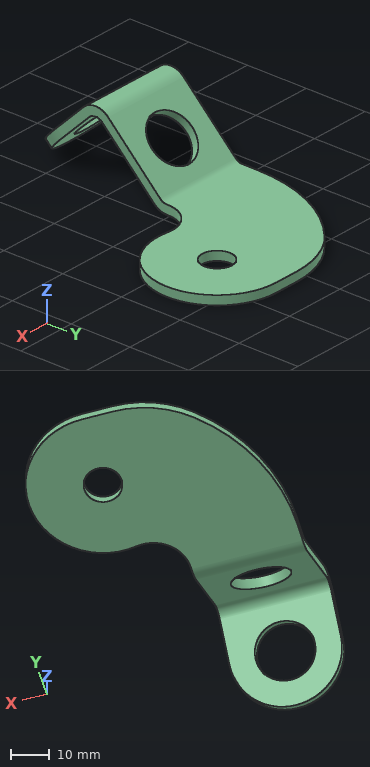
import cadquery as cq
import math

thickness = 3.0
total_length = 98.1
tab_width = 30.0
bend_inner = 3.0
bend_outer = bend_inner + thickness

plate_length = 50.0
lobe_radius = 20.0
lobe_x = 45.0
lobe_y = plate_length - lobe_radius
side_radius = 50.0
side_start_y = 5.0
shoulder_radius = 30.0
neck_radius = 10.0
plate_hole_diameter = 10.0

tab_hole_diameter = 16.0
slope = math.sqrt(0.5)
first_bend_z = bend_outer
center_distance = bend_inner + bend_outer
tip_y = plate_length - total_length
ridge_z = (first_bend_z - tip_y - 3 * center_distance * slope) / 2
ridge_y = first_bend_z - ridge_z - 2 * center_distance * slope
end_leg_run = ridge_y - bend_outer * slope - tip_y
end_leg_length = end_leg_run / slope
tab_end_radius = tab_width / 2
hole_from_bend = end_leg_length - tab_end_radius


def on_circle(center_x, center_y, radius, degrees):
    angle = math.radians(degrees)
    return (center_x + radius * math.cos(angle), center_y + radius * math.sin(angle))


def make_plate():
    """Curved flat plate with one round hole in its lobe."""
    shoulder_y = plate_length - shoulder_radius
    center_gap = side_radius - shoulder_radius
    join_rise = math.asin((shoulder_y - side_start_y) / center_gap)
    shoulder_x = side_radius - center_gap * math.cos(join_rise)
    join_angle = 180 - math.degrees(join_rise)

    neck_x = tab_width + neck_radius
    neck_tilt = math.acos((lobe_x - neck_x) / (lobe_radius + neck_radius))
    neck_y = lobe_y - (lobe_radius + neck_radius) * math.sin(neck_tilt)
    neck_angle = math.degrees(neck_tilt)
    neck_middle = (180 + neck_angle) / 2

    outline = (
        cq.Workplane("XY")
        .moveTo(0, 0)
        .lineTo(0, side_start_y)
        .threePointArc(
            on_circle(side_radius, side_start_y, side_radius, (180 + join_angle) / 2),
            on_circle(side_radius, side_start_y, side_radius, join_angle),
        )
        .threePointArc(
            on_circle(shoulder_x, shoulder_y, shoulder_radius, (90 + join_angle) / 2),
            (shoulder_x, plate_length),
        )
        .lineTo(lobe_x, plate_length)
        .threePointArc(
            (lobe_x + lobe_radius, lobe_y),
            on_circle(neck_x, neck_y, neck_radius, neck_angle),
        )
        .threePointArc(
            on_circle(neck_x, neck_y, neck_radius, neck_middle),
            (tab_width, neck_y),
        )
        .lineTo(tab_width, 0)
        .close()
    )
    hole = cq.Workplane("XY").center(lobe_x, lobe_y).circle(plate_hole_diameter / 2).extrude(thickness)
    return outline.extrude(thickness).cut(hole)


def make_folded_strip():
    """Constant-width strip that bends up from the plate and down over the ridge."""
    end_z = ridge_z - end_leg_run
    tip_top = on_circle(ridge_y - end_leg_run, end_z, bend_outer, 135)
    tip_bottom = on_circle(ridge_y - end_leg_run, end_z, bend_inner, 135)
    return (
        cq.Workplane("YZ")
        .moveTo(0, 0)
        .threePointArc(
            on_circle(0, first_bend_z, bend_outer, 247.5),
            on_circle(0, first_bend_z, bend_outer, 225),
        )
        .lineTo(*on_circle(ridge_y, ridge_z, bend_inner, 45))
        .threePointArc(
            (ridge_y, ridge_z + bend_inner),
            on_circle(ridge_y, ridge_z, bend_inner, 135),
        )
        .lineTo(*tip_bottom)
        .lineTo(*tip_top)
        .lineTo(*on_circle(ridge_y, ridge_z, bend_outer, 135))
        .threePointArc(
            (ridge_y, ridge_z + bend_outer),
            on_circle(ridge_y, ridge_z, bend_outer, 45),
        )
        .lineTo(*on_circle(0, first_bend_z, bend_inner, 225))
        .threePointArc(
            on_circle(0, first_bend_z, bend_inner, 247.5),
            (0, thickness),
        )
        .close()
        .extrude(tab_width)
    )


def leg_workplane(side):
    """Plane parallel to a leg, centred under its hole: side is -1 for the end leg, 1 for the middle leg."""
    along = hole_from_bend * slope
    return cq.Workplane(
        cq.Plane(
            origin=(tab_width / 2, ridge_y + side * along, ridge_z - along),
            xDir=(1, 0, 0),
            normal=(0, side, 1),
        )
    )


def make_leg_hole(side):
    return leg_workplane(side).circle(tab_hole_diameter / 2).extrude(bend_outer)


def make_tab_outline():
    """Block that trims the end leg to a full round and clears the rest of the strip."""
    return (
        leg_workplane(-1)
        .moveTo(-tab_end_radius, 0)
        .threePointArc((0, -tab_end_radius), (tab_end_radius, 0))
        .lineTo(tab_end_radius, total_length)
        .lineTo(-tab_end_radius, total_length)
        .close()
        .extrude(total_length, both=True)
    )


strip = make_folded_strip().intersect(make_tab_outline())
for leg_side in (-1, 1):
    strip = strip.cut(make_leg_hole(leg_side))

result = make_plate().union(strip)